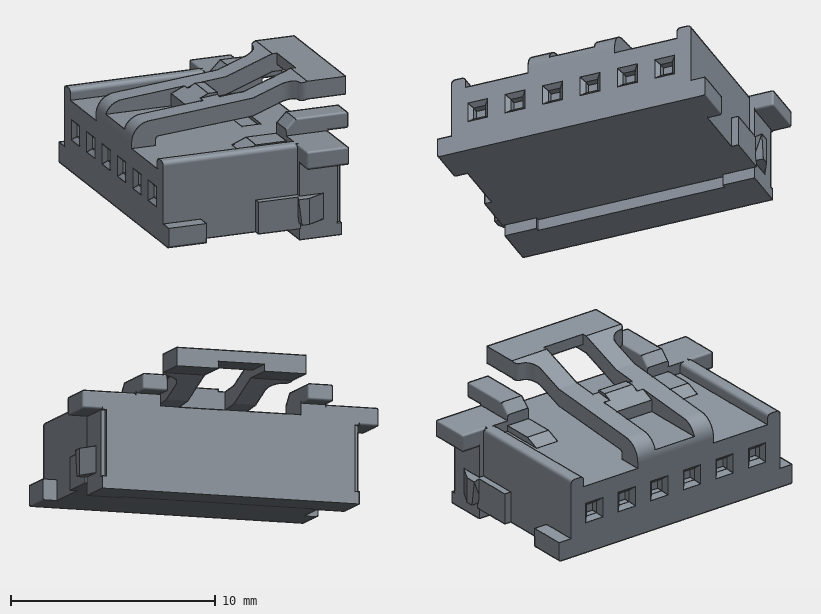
import cadquery as cq
import math

edge_round = 0.11

body_half_width = 6.42
body_bottom = 0.62
body_top = 4.84
wall_round = 0.22
deck_half_width = 5.65
deck_height = 4.27

flange_front = 7.11
flange_back = 9.33
flange_half_width = 6.68
wing_half_width = 7.7
wing_bottom = 3.93
foot_recess_half_width = 4.99
foot_recess_depth = 0.2
back_notch = 0.22

tab_half_width = 7.16
tab_length = 1.99
tab_top = 1.65

rail_half_width = 6.79
rail_front = 4.9
rail_top = 2.26
boss_half_width = 7.19
boss_bottom = 0.92
boss_front_top = 6.85
boss_front_inner = 6.98
boss_front_bottom = 7.04
boss_crest_back = 7.42
boss_back = 8.38

contact_count = 6
contact_pitch = 2.0
contact_height = 2.79
contact_mouth = 1.06
contact_bore = 0.63
contact_bore_depth = 0.34

hook_inner = 3.65
hook_outer = 4.95
hook_top = 5.65
hook_back = 10.41
hook_bevel = 0.5
pad_height = 4.57
pad_crest_front = 5.51
pad_front = 4.76

latch_half_width = 2.33
latch_thickness = 0.92
latch_slot_half_width = 1.2
latch_top = 6.95
latch_back = 10.9
handle_half_width = 3.35
handle_front = 8.87
handle_corner_radius = 0.31
ramp_foot = 6.42
ramp_foot_top = 6.07
ramp_foot_bottom = 5.15
beam_slope = 5.0
underside_slope = 4.5
root_arc_radius = 1.02
root_arc_base = 4.57
root_back = 1.26
root_round = 0.18
window_front = 5.13
window_back = 9.12
handle_relief_top = 6.38

catch_half_width = 0.85
catch_top = 6.07
catch_crest_front = 4.65
catch_front = 3.53
catch_front_top = 5.56
beam_pocket_floor = 4.93
deck_pocket_front = 6.28
deck_pocket_back = 7.3
deck_pocket_depth = 0.15


def box(x_range, y_range, z_range):
    """Axis-aligned box between the given limits."""
    sizes = [high - low for low, high in (x_range, y_range, z_range)]
    corner = (x_range[0], y_range[0], z_range[0])
    return cq.Workplane("XY").box(*sizes, centered=False).translate(corner)


def centred_box(half_width, y_range, z_range):
    """Box spanning the symmetry plane."""
    return box((-half_width, half_width), y_range, z_range)


def side_profile(points, x_range):
    """Extrude a closed (y, z) polygon across the given X range."""
    outline = cq.Workplane("YZ").polyline(points).close()
    return outline.extrude(x_range[1] - x_range[0]).translate((x_range[0], 0, 0))


def with_mirror(shape):
    """Add the opposite-hand copy across X = 0."""
    return shape.union(shape.mirror("YZ"))


def front_housing():
    """Solid block under the sunken deck, with a round-topped wall along each side."""
    y_range = (0, flange_front)
    block = centred_box(body_half_width, y_range, (body_bottom, deck_height))
    wall = box((deck_half_width, body_half_width), y_range, (body_bottom, body_top))
    wall = wall.edges("|Y and >Z").fillet(wall_round)
    return block.union(with_mirror(wall))


def flange():
    """Rear plate, its rounded wings, the foot recess and the notches in its back corners."""
    y_range = (flange_front, flange_back)
    plate = centred_box(flange_half_width, y_range, (0, wing_bottom))
    recess_y_range = (flange_front, flange_front + foot_recess_depth)
    plate = plate.cut(centred_box(foot_recess_half_width, recess_y_range, (0, body_bottom)))
    plate = plate.union(centred_box(hook_outer, y_range, (wing_bottom, deck_height)))
    notch = box(
        (flange_half_width - back_notch, flange_half_width),
        (flange_back - back_notch, flange_back),
        (body_bottom, wing_bottom),
    )
    wing = box((hook_outer, wing_half_width), y_range, (wing_bottom, body_top))
    wing = wing.edges("|X or >X").fillet(edge_round)
    wing_root = box(
        (hook_outer, body_half_width - wall_round),
        (flange_front, flange_back - edge_round),
        (wing_bottom, body_top),
    )
    under_wing = box((hook_outer, flange_half_width), y_range, (wing_bottom, wing_bottom + edge_round))
    return plate.cut(with_mirror(notch)).union(with_mirror(wing.union(wing_root).union(under_wing)))


def corner_tabs():
    """Low bar across the front whose ends stand out as rounded tabs."""
    tabs = centred_box(tab_half_width, (0, tab_length), (body_bottom, tab_top))
    return tabs.edges("|Y and <Z").fillet(edge_round)


def side_rail():
    """Side rail with a wedge-shaped boss whose front has a skewed facet and an undercut facet."""
    rail = box((deck_half_width, rail_half_width), (rail_front, flange_front), (body_bottom, rail_top))
    boss = (
        cq.Workplane("XY")
        .workplane(offset=boss_bottom)
        .polyline([
            (body_half_width, boss_front_inner),
            (rail_half_width, boss_front_inner),
            (boss_half_width, boss_front_top),
            (boss_half_width, boss_crest_back),
            (flange_half_width, boss_back),
            (body_half_width, boss_back),
        ])
        .close()
        .extrude(rail_top - boss_bottom)
    )
    front_bevel = side_profile(
        [(boss_front_top, rail_top), (boss_front_top, boss_bottom), (boss_front_bottom, boss_bottom)],
        (body_half_width, boss_half_width),
    )
    return rail.union(boss.cut(front_bevel))


def contact_openings():
    """Tapered mouths leading into blind square bores."""
    mouth_depth = (contact_mouth - contact_bore) / 2
    openings = cq.Workplane("XY")
    for index in range(contact_count):
        x = (index - (contact_count - 1) / 2) * contact_pitch
        mouth = (
            cq.Workplane("XZ", origin=(x, 0, contact_height))
            .rect(contact_mouth, contact_mouth)
            .workplane(offset=-mouth_depth)
            .rect(contact_bore, contact_bore)
            .loft(ruled=True)
        )
        bore = (
            cq.Workplane("XZ", origin=(x, 0, contact_height))
            .rect(contact_bore, contact_bore)
            .extrude(-mouth_depth - contact_bore_depth)
        )
        openings = openings.add(mouth.union(bore))
    return openings.combine()


def hook():
    """Rounded hook post with the ramped pad in front of it."""
    x_range = (hook_inner, hook_outer)
    bar = side_profile(
        [
            (flange_front, body_top),
            (flange_front, hook_top - hook_bevel),
            (flange_front + hook_bevel, hook_top),
            (hook_back, hook_top),
            (hook_back, body_top),
        ],
        x_range,
    )
    bar = bar.faces("<X or >X or >Y").edges().edges("not(<Y)").fillet(edge_round)
    post = box(x_range, (flange_front, flange_back), (deck_height, body_top + edge_round))
    pad = side_profile(
        [
            (flange_front, deck_height),
            (flange_front, pad_height),
            (pad_crest_front, pad_height),
            (pad_front, deck_height),
        ],
        x_range,
    )
    return bar.union(post).union(pad)


def latch_side_solid():
    """Side profile of the latch: arched root, sloping beam, steeper ramp and level handle."""
    slope = math.radians(beam_slope)
    arc_centre = (root_arc_radius, root_arc_base)
    arc_end_angle = math.pi / 2 + slope
    arc_mid_angle = (math.pi + arc_end_angle) / 2

    def on_arc(angle):
        return (
            arc_centre[0] + root_arc_radius * math.cos(angle),
            arc_centre[1] + root_arc_radius * math.sin(angle),
        )

    underside_drop = (ramp_foot - root_back) * math.tan(math.radians(underside_slope))
    solid = (
        cq.Workplane("YZ")
        .moveTo(0, deck_height)
        .lineTo(0, root_arc_base)
        .threePointArc(on_arc(arc_mid_angle), on_arc(arc_end_angle))
        .lineTo(ramp_foot, ramp_foot_top)
        .lineTo(handle_front, latch_top)
        .lineTo(latch_back, latch_top)
        .lineTo(latch_back, latch_top - latch_thickness)
        .lineTo(handle_front, latch_top - latch_thickness)
        .lineTo(ramp_foot, ramp_foot_bottom)
        .lineTo(root_back, ramp_foot_bottom - underside_drop)
        .lineTo(root_back, deck_height)
        .close()
        .extrude(handle_half_width, both=True)
    )
    inner_corner = cq.selectors.NearestToPointSelector((0, root_back, ramp_foot_bottom - underside_drop))
    return solid.edges("|X").edges(inner_corner).fillet(root_round)


def latch_plan_solid():
    """Plan outline: a narrow beam flaring through two tangent arcs into the wide handle."""
    flare_radius = handle_half_width - latch_half_width - handle_corner_radius
    arc_join_x = handle_half_width - handle_corner_radius
    arc_join_y = handle_front - handle_corner_radius
    half = (
        cq.Workplane("XY")
        .moveTo(0, 0)
        .lineTo(latch_half_width, 0)
        .lineTo(latch_half_width, arc_join_y - flare_radius)
        .radiusArc((arc_join_x, arc_join_y), flare_radius)
        .radiusArc((handle_half_width, handle_front), -handle_corner_radius)
        .lineTo(handle_half_width, latch_back)
        .lineTo(0, latch_back)
        .close()
        .extrude(latch_top)
    )
    return with_mirror(half)


def latch():
    """Latch with its window, front pocket, relief under the handle and raised catch."""
    beam = latch_side_solid().intersect(latch_plan_solid())
    window = centred_box(latch_slot_half_width, (window_front, window_back), (deck_height, latch_top))
    relief = centred_box(latch_slot_half_width, (window_back, latch_back), (deck_height, handle_relief_top))
    pocket = centred_box(latch_slot_half_width, (0, catch_front), (beam_pocket_floor, latch_top))
    beam = beam.cut(window).cut(relief).cut(pocket)
    catch_slope = [(catch_front, catch_front_top), (catch_crest_front, catch_top), (catch_front, catch_top)]
    beam = beam.cut(side_profile(catch_slope, (-latch_slot_half_width, latch_slot_half_width)))
    catch = side_profile(
        [
            (catch_front, beam_pocket_floor),
            (catch_front, catch_front_top),
            (catch_crest_front, catch_top),
            (window_front, catch_top),
            (window_front, ramp_foot_bottom),
        ],
        (-catch_half_width, catch_half_width),
    )
    return beam.union(catch)


deck_pocket = centred_box(
    latch_slot_half_width,
    (deck_pocket_front, deck_pocket_back),
    (deck_height - deck_pocket_depth, deck_height),
)

result = (
    front_housing()
    .union(flange())
    .union(corner_tabs())
    .union(with_mirror(side_rail()))
    .cut(contact_openings())
    .cut(deck_pocket)
    .union(with_mirror(hook()))
    .union(latch())
)